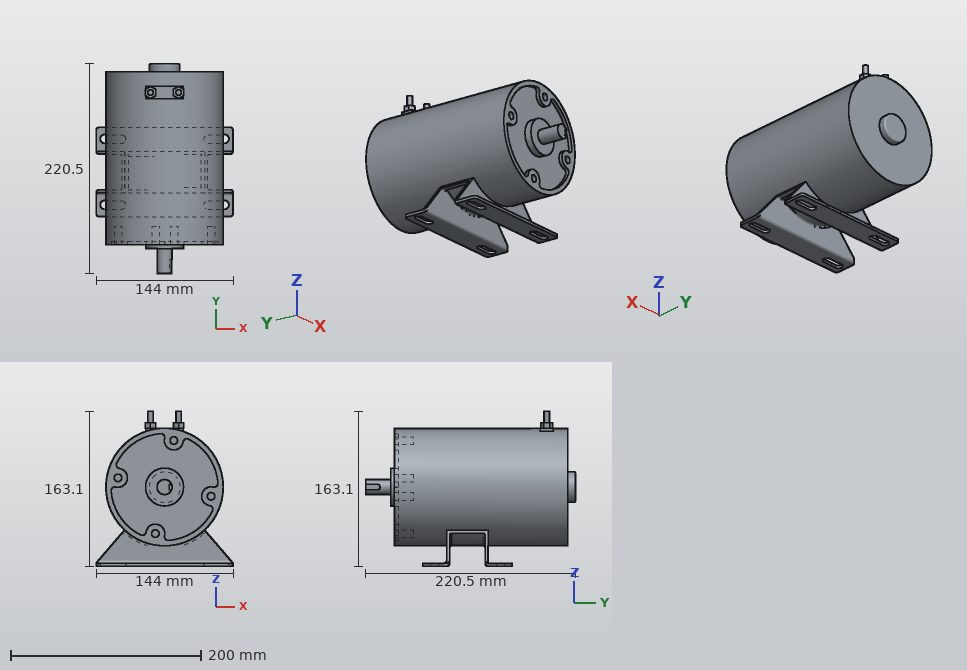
import cadquery as cq
import math


housing_diameter = 123.5
housing_length = 182.1
rear_boss_diameter = 32.5
rear_boss_length = 8.2
rear_boss_edge = 2.0
flange_diameter = 40.0
flange_height = 4.0
shaft_diameter = 15.9
overall_length = 220.5
shaft_end = overall_length - housing_length - rear_boss_length

keyway_width = 6.0
keyway_length = 15.2
keyway_floor = 5.0

recess_diameter = 112.5
recess_depth = 4.0
ear_radius = 10.0
ear_circle_radius = 49.8
ear_count = 4
ear_tilt = 11.2
recess_corner_radius = 4.0
screw_hole_diameter = 8.0
screw_hole_depth = 19.8

bracket_center = 76.7
bracket_width = 144.0
bracket_length = 94.0
hat_width = 43.7
sheet = 3.3
base_level = -83.3
hat_top = -45.2
hat_top_width = 84.2
foot_corner_radius = 3.3
inner_fillet = 2.2
slot_width = 9.0
slot_length = 26.5
slot_outer_end = 67.5
slot_spacing = 69.2

terminal_center = 160.0
plate_width = 39.7
plate_length = 13.5
plate_top = 62.0
plate_bottom = 44.0
stud_spacing = 29.5
stud_diameter = 6.0
stud_top = 79.8
nut_flats = 11.2
nut_top = 67.7


def cylinder_y(diameter, y_start, y_end, x=0.0, z=0.0):
    """Cylinder parallel to Y between two Y positions."""
    plane = cq.Plane(origin=(x, y_start, z), xDir=(1, 0, 0), normal=(0, 1, 0))
    return cq.Workplane(plane).circle(diameter / 2).extrude(y_end - y_start)


def ear_centers():
    """X, Z positions of the screw ears on the front face."""
    angles = [math.radians(90 - ear_tilt + i * 360 / ear_count) for i in range(ear_count)]
    return [(ear_circle_radius * math.cos(a), ear_circle_radius * math.sin(a)) for a in angles]


def make_recess():
    """Volume removed from the front face around the flange and between the ears."""
    recess = cylinder_y(recess_diameter, 0, recess_depth)
    for x, z in ear_centers():
        recess = recess.cut(cylinder_y(2 * ear_radius, 0, recess_depth, x, z))
    recess = recess.edges("|Y").fillet(recess_corner_radius)
    return recess.cut(cylinder_y(flange_diameter, 0, recess_depth))


def make_shaft():
    """Shaft with a round-ended keyway on its +X side, open at the free end."""
    shaft = cylinder_y(shaft_diameter, -shaft_end, 0)
    straight_end = keyway_length - keyway_width / 2 - shaft_end
    side = cq.Workplane("YZ", origin=(keyway_floor, 0, 0))
    keyway = (
        side.moveTo(-shaft_end, -keyway_width / 2)
        .lineTo(straight_end, -keyway_width / 2)
        .threePointArc((straight_end + keyway_width / 2, 0), (straight_end, keyway_width / 2))
        .lineTo(-shaft_end, keyway_width / 2)
        .close()
        .extrude(shaft_diameter)
    )
    return shaft.cut(keyway)


def make_motor():
    """Housing with its front details, shaft and rear boss."""
    housing = cylinder_y(housing_diameter, 0, housing_length).cut(make_recess())
    for x, z in ear_centers():
        housing = housing.cut(cylinder_y(screw_hole_diameter, 0, screw_hole_depth, x, z))
    flange = cylinder_y(flange_diameter, -flange_height, recess_depth)
    rear_boss = cylinder_y(rear_boss_diameter, housing_length, housing_length + rear_boss_length)
    rear_boss = rear_boss.faces(">Y").edges().fillet(rear_boss_edge)
    return housing.union(flange).union(make_shaft()).union(rear_boss)


def make_bracket():
    """Hat-shaped sheet: flat web, two legs with sloping sides and two slotted feet."""
    half_hat = hat_width / 2
    half_length = bracket_length / 2
    foot_top = base_level + sheet
    hat = (
        cq.Workplane("YZ", origin=(-bracket_width / 2, bracket_center, 0))
        .moveTo(-half_length, base_level)
        .lineTo(-half_hat, base_level)
        .radiusArc((-half_hat + sheet, foot_top), -sheet)
        .lineTo(-half_hat + sheet, hat_top - sheet)
        .lineTo(half_hat - sheet, hat_top - sheet)
        .lineTo(half_hat - sheet, foot_top)
        .radiusArc((half_hat, base_level), -sheet)
        .lineTo(half_length, base_level)
        .lineTo(half_length, foot_top)
        .lineTo(half_hat, foot_top)
        .lineTo(half_hat, hat_top)
        .lineTo(-half_hat, hat_top)
        .lineTo(-half_hat, foot_top + sheet)
        .radiusArc((-half_hat - sheet, foot_top), sheet)
        .lineTo(-half_length, foot_top)
        .close()
        .extrude(bracket_width)
    )
    side_slopes = (
        cq.Workplane("XZ", origin=(0, bracket_center + half_length, 0))
        .polyline([
            (-bracket_width / 2, base_level),
            (bracket_width / 2, base_level),
            (bracket_width / 2, foot_top),
            (hat_top_width / 2, hat_top),
            (-hat_top_width / 2, hat_top),
            (-bracket_width / 2, foot_top),
        ])
        .close()
        .extrude(bracket_length)
    )
    bracket = hat.intersect(side_slopes)

    foot_length = half_length - half_hat + sheet
    foot_offset = half_length - foot_length / 2
    foot_outlines = (
        cq.Workplane("XY", origin=(0, bracket_center, base_level))
        .pushPoints([(0, -foot_offset), (0, foot_offset)])
        .rect(bracket_width, foot_length)
        .extrude(hat_top - base_level)
        .edges("|Z")
        .fillet(foot_corner_radius)
    )
    between_legs = (
        cq.Workplane("XY", origin=(0, bracket_center, base_level))
        .rect(bracket_width, hat_width - 2 * sheet)
        .extrude(hat_top - base_level)
    )
    bracket = bracket.intersect(foot_outlines.union(between_legs))

    slot_x = slot_outer_end - slot_length / 2
    slots = (
        cq.Workplane("XY", origin=(0, bracket_center, base_level))
        .rect(2 * slot_x, slot_spacing, forConstruction=True)
        .vertices()
        .slot2D(slot_length, slot_width)
        .extrude(sheet)
    )
    return bracket.cut(slots)


def fillet_bracket_inside(body):
    """Round the inside corners where the legs meet the web and the housing."""
    inner_half = hat_width / 2 - sheet
    margin = 0.2
    for leg_y in (bracket_center - inner_half, bracket_center + inner_half):
        corner = cq.selectors.BoxSelector(
            (-bracket_width / 2, leg_y - margin, -housing_diameter / 2 - margin),
            (bracket_width / 2, leg_y + margin, hat_top - sheet + margin),
            boundingbox=True,
        )
        body = body.edges(corner).fillet(inner_fillet)
    return body


def make_terminals():
    """Flat plate on top of the housing carrying two studs with nuts."""
    def block(bottom):
        return cq.Workplane("XY", origin=(0, terminal_center, bottom))

    stud_points = [(-stud_spacing / 2, 0), (stud_spacing / 2, 0)]
    nut_corners = nut_flats / math.cos(math.radians(30))
    terminals = block(plate_bottom).rect(plate_width, plate_length).extrude(plate_top - plate_bottom)
    for x, y in stud_points:
        nut = block(plate_top).center(x, y).transformed(rotate=(0, 0, 90))
        nut = nut.polygon(6, nut_corners).extrude(nut_top - plate_top)
        stud = block(plate_bottom).center(x, y).circle(stud_diameter / 2).extrude(stud_top - plate_bottom)
        terminals = terminals.union(nut).union(stud)
    return terminals


motor_on_bracket = fillet_bracket_inside(make_motor().union(make_bracket()))
result = motor_on_bracket.union(make_terminals())